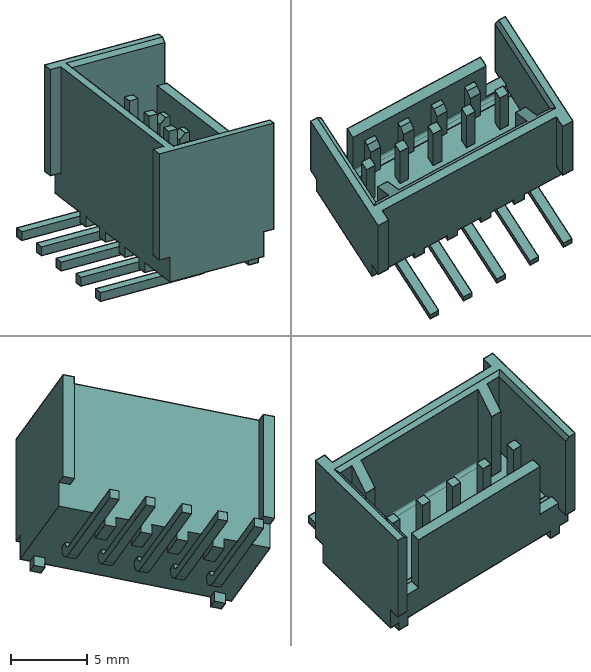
import cadquery as cq


pin_count = 5
pitch = 2.54
pin_size = 0.65
pin_top = 6.9
lead_drop = 1.26
lead_end = -8.53
bend_inner_radius = lead_drop - pin_size

length = 14.83
overall_height = 10.91
height = overall_height - lead_drop
front = -4.43
rear = 2.73
side_wall = 0.79
front_wall = 0.85
rear_wall = 0.74
rear_wall_top = 7.27
rear_wall_shoulder = 2.37
rear_panel_half_length = 2 * pitch

plate_front = -5.23
plate_rear = 3.49
plate_bottom = 1.82

floor = 1.82
floor_fillet = 0.27
ledge_end = 1.41
ledge_height = 0.07
embed = 0.15
rim_chamfer = 0.28
cavity_front = front + front_wall
cavity_rear = rear - rear_wall
cavity_length = length - 2 * side_wall

bar_width = 0.77
key_centre = 5.26
key_end = -2.14
rib_top = 5.74
rib_slope_start = 1.65
rib_end = 1.23
rib_slope_drop = rib_slope_start - rib_end

standoff_height = 0.74
front_standoff_depth = 1.78
rear_standoff_depth = 0.75


def block(x_range, y_range, z_range):
    """Box between the given limits along each axis."""
    (x0, x1), (y0, y1), (z0, z1) = x_range, y_range, z_range
    return cq.Workplane("XY").box(x1 - x0, y1 - y0, z1 - z0, centered=False).translate((x0, y0, z0))


def side_profile(y, z):
    """Start an outline in the YZ plane at the given point."""
    return cq.Workplane("YZ").moveTo(y, z)


def row(count):
    """X positions of evenly pitched features centred on the housing."""
    return [(i - (count - 1) / 2) * pitch for i in range(count)]


def housing_block():
    body = block((-length / 2, length / 2), (front, rear), (0, height))
    for x in (-length / 2, length / 2 - side_wall):
        plate = block((x, x + side_wall), (plate_front, plate_rear), (plate_bottom, height))
        body = body.union(plate)
    return body


def cavity():
    """Open-topped pocket with filleted floor corners and a low ledge along the rear wall."""
    ledge = floor + ledge_height
    return (
        side_profile(cavity_front, height)
        .lineTo(cavity_front, floor + floor_fillet)
        .radiusArc((cavity_front + floor_fillet, floor), -floor_fillet)
        .lineTo(ledge_end, floor)
        .lineTo(ledge_end, ledge)
        .lineTo(cavity_rear - floor_fillet, ledge)
        .radiusArc((cavity_rear, ledge + floor_fillet), -floor_fillet)
        .lineTo(cavity_rear, height)
        .close()
        .extrude(cavity_length / 2, both=True)
    )


def rear_opening():
    """Gap above the low rear wall, cut down to a shoulder outside the end pins."""
    half = cavity_length / 2
    opening = block((-half, half), (cavity_rear, rear), (rear_wall_shoulder, height))
    panel = block(
        (-rear_panel_half_length, rear_panel_half_length),
        (cavity_rear, rear),
        (rear_wall_shoulder, rear_wall_top),
    )
    return opening.cut(panel)


def rim_bevel():
    """45-degree lead-in along the front wall and both side plates, running out at the rear."""
    y_front = cavity_front - rim_chamfer
    y_rear = plate_rear + 2 * rim_chamfer
    return (
        cq.Workplane("XY", origin=(0, (y_front + y_rear) / 2, height))
        .rect(cavity_length + 2 * rim_chamfer, y_rear - y_front)
        .extrude(-rim_chamfer, taper=45)
    )


def key(x):
    """Guide on the front wall whose 45-degree top continues the rim bevel."""
    slope_top = height - rim_chamfer
    return (
        side_profile(front, floor - embed)
        .lineTo(front, slope_top)
        .lineTo(cavity_front, slope_top)
        .lineTo(key_end, slope_top - (key_end - cavity_front))
        .lineTo(key_end, floor - embed)
        .close()
        .extrude(bar_width / 2, both=True)
        .translate((x, 0, 0))
    )


def rib(x):
    """Rib on the rear wall, flat on top with a sloped front edge."""
    return (
        side_profile(rear, floor - embed)
        .lineTo(rear, rib_top)
        .lineTo(rib_slope_start, rib_top)
        .lineTo(rib_end, rib_top - rib_slope_drop)
        .lineTo(rib_end, floor - embed)
        .close()
        .extrude(bar_width / 2, both=True)
        .translate((x, 0, 0))
    )


def standoff(x, y_range):
    return block((x - bar_width / 2, x + bar_width / 2), y_range, (-standoff_height, 0))


def pin(x):
    """Square pin that bends under the housing into a straight lead."""
    half = pin_size / 2
    outer_radius = bend_inner_radius + pin_size
    bend_end = half - outer_radius
    return (
        side_profile(half, pin_top)
        .lineTo(half, 0)
        .radiusArc((bend_end, -lead_drop), outer_radius)
        .lineTo(lead_end, -lead_drop)
        .lineTo(lead_end, pin_size - lead_drop)
        .lineTo(bend_end, pin_size - lead_drop)
        .radiusArc((-half, 0), -bend_inner_radius)
        .lineTo(-half, pin_top)
        .close()
        .extrude(half, both=True)
        .translate((x, 0, 0))
    )


result = housing_block().cut(cavity()).cut(rear_opening()).cut(rim_bevel())

for x in (-key_centre, key_centre):
    result = result.union(key(x))

for x in row(pin_count - 1):
    result = result.union(rib(x))
    result = result.union(standoff(x, (front, front + front_standoff_depth)))

rear_standoff_x = pin_count * pitch / 2
for x in (-rear_standoff_x, rear_standoff_x):
    result = result.union(standoff(x, (rear - rear_standoff_depth, rear)))

for x in row(pin_count):
    result = result.union(pin(x))